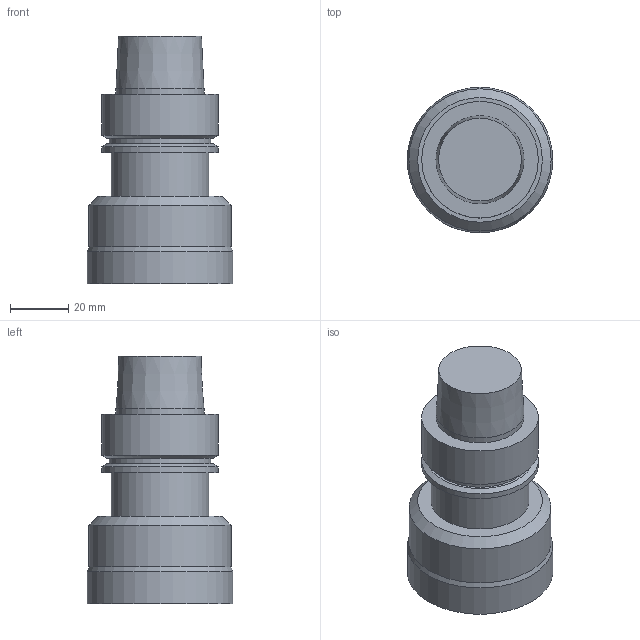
import cadquery as cq
import math

BASE_DIAMETER = 50.0
BODY_DIAMETER = 48.8
NECK_DIAMETER = 33.6
FLANGE_DIAMETER = 40.0
GROOVE_DIAMETER = 34.8
SHANK_DIAMETER = 30.2

BASE_TOP = 11.0
BODY_BOTTOM = 12.7
BODY_TOP = 30.0
FLANGE_BOTTOM = 45.0
FLANGE_TOP = 65.0
TAPER_BOTTOM = 67.0
TOTAL_HEIGHT = 85.0

BODY_CHAMFER = 3.0
TAPER_RATIO = 1 / 10

GROOVE_CENTRE = 49.0
GROOVE_FLOOR_WIDTH = 2.0
GROOVE_LIP_HEIGHT = 1.0
GROOVE_LIP_ANGLE = 30.0


def make_body():
    """Revolve the stepped outline: base, body, neck, flange and tapered shank."""
    base_radius = BASE_DIAMETER / 2
    body_radius = BODY_DIAMETER / 2
    neck_radius = NECK_DIAMETER / 2
    flange_radius = FLANGE_DIAMETER / 2
    shank_radius = SHANK_DIAMETER / 2
    tip_radius = shank_radius - TAPER_RATIO * (TOTAL_HEIGHT - TAPER_BOTTOM) / 2
    outline = [
        (0, 0),
        (base_radius, 0),
        (base_radius, BASE_TOP),
        (body_radius, BODY_BOTTOM),
        (body_radius, BODY_TOP - BODY_CHAMFER),
        (body_radius - BODY_CHAMFER, BODY_TOP),
        (neck_radius, BODY_TOP),
        (neck_radius, FLANGE_BOTTOM),
        (flange_radius, FLANGE_BOTTOM),
        (flange_radius, FLANGE_TOP),
        (shank_radius, FLANGE_TOP),
        (shank_radius, TAPER_BOTTOM),
        (tip_radius, TOTAL_HEIGHT),
        (0, TOTAL_HEIGHT),
    ]
    return revolve_outline(outline)


def make_groove():
    """Ring removed from the flange: a flat-walled groove with bevelled lips."""
    flange_radius = FLANGE_DIAMETER / 2
    groove_radius = GROOVE_DIAMETER / 2
    lip_radius = flange_radius - GROOVE_LIP_HEIGHT / math.tan(math.radians(GROOVE_LIP_ANGLE))
    floor_bottom = GROOVE_CENTRE - GROOVE_FLOOR_WIDTH / 2
    floor_top = GROOVE_CENTRE + GROOVE_FLOOR_WIDTH / 2
    outline = [
        (groove_radius, floor_bottom),
        (lip_radius, floor_bottom),
        (flange_radius, floor_bottom - GROOVE_LIP_HEIGHT),
        (flange_radius, floor_top + GROOVE_LIP_HEIGHT),
        (lip_radius, floor_top),
        (groove_radius, floor_top),
    ]
    return revolve_outline(outline)


def revolve_outline(outline):
    """Turn a closed (radius, height) outline about the Z axis."""
    return cq.Workplane("XZ").polyline(outline).close().revolve(360, (0, 0), (0, 1))


result = make_body().cut(make_groove())